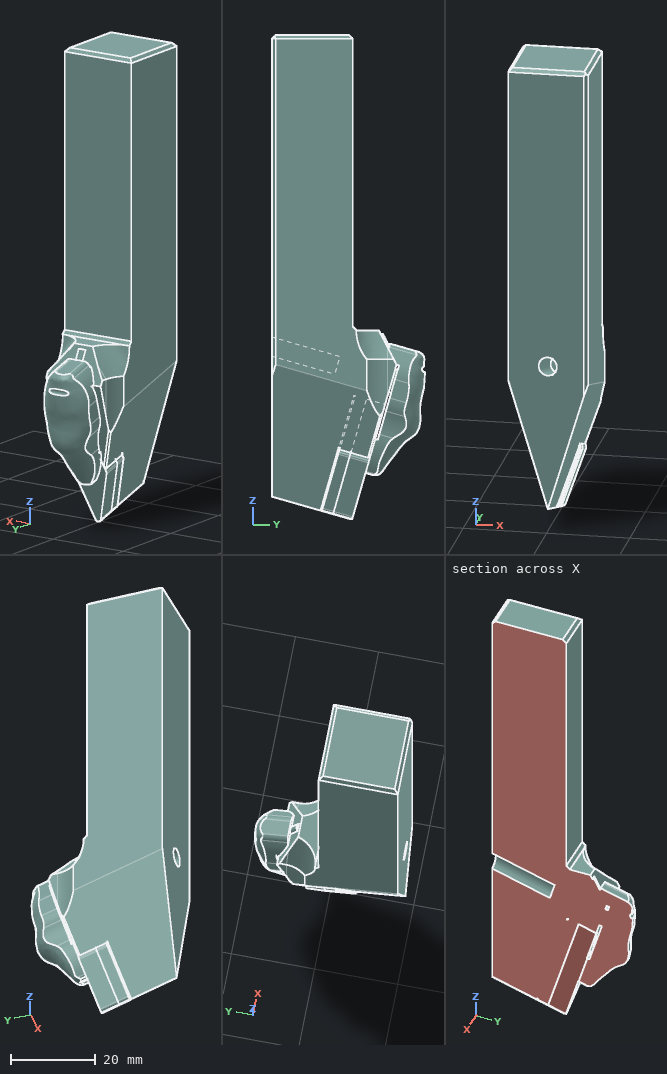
import cadquery as cq
import math

LENGTH = 114.3
SHANK = 19.1
SHANK_CHAMFER = 0.9
HEAD_TOP_Z = 44.6
RAMP_TOP_Y = 25.3
SHOULDER_CHAMFER = 0.9
RAMP_ANGLE = 27.0

NECK_HALF_WIDTH = 7.8
NECK_TANGENT_Y = 27.2
NECK_RADIUS = 7.3
NECK_BEND_Z = 37.7
NECK_LEAN = 38.0

SEAT_LEAN = 16.0
TIP_Y = 19.0
HALF_POINT = 17.5
INSCRIBED_RADIUS = 4.8
NOSE_RADIUS = 0.8
INSERT_THICKNESS = 4.7
SHIM_THICKNESS = 3.1
SHIM_CHAMFER = 0.3
SIDE_RELIEF = 0.51
SEAT_CHAMFER = 0.5

CLAMP_FLOOR = -2.9
CLAMP_GAP = 0.6
CLAMP_PAD_END = 19.7
SCREW_AXIS = 34.0
SCREW_REACH = 0.6
SCREW_DIAMETER = 5.7
SCREW_HOLE_DIAMETER = 4.3
SCREW_HOLE_DEPTH = 16.0
PIN_RADIUS = 1.3
PIN_PROUD = 0.5
PIN_TOP_DROP = 1.1
PIN_LENGTH = 5.7

CLAMP_HALF_WIDTH = 6.4
CLAMP_BACK_HALF_WIDTH = 1.8
CLAMP_CORNER_HALF_WIDTH = 3.2
CLAMP_SHOULDER_HALF_WIDTH = 5.4
CLAMP_WAIST_HALF_WIDTH = 5.7
CLAMP_NECK_HALF_WIDTH = 4.5
CLAMP_CHEEK_HALF_WIDTH = 3.8
CLAMP_NOSE_HALF_WIDTH = 1.7
CLAMP_OVERSIZE = 0.3
GROOVE_AT = 38.7
GROOVE_LEVEL = 6.7
GROOVE_RADIUS = 0.7

CLAMP_TIP = 11.4
CLAMP_NOSE = 11.8
CLAMP_CHEEK = 16.2
CLAMP_NECK = 21.0
CLAMP_WAIST = 26.7
CLAMP_FRONT = 30.0
CLAMP_REAR = 34.5
CLAMP_SHOULDER = 38.7
CLAMP_CORNER = 41.5
CLAMP_BACK = 42.3

CLAMP_SECTIONS = [
    (11.3, 1.7, 0.7, 2.1),
    (12.8, 2.5, 1.0, 3.8),
    (15.4, 3.5, 1.3, 4.7),
    (17.7, 4.1, 1.6, 5.6),
    (21.0, 4.5, 2.3, 7.1),
    (23.3, 4.8, 2.6, 8.8),
    (26.7, 5.7, 4.0, 9.1),
    (30.0, 6.4, 4.1, 8.1),
    (34.5, 6.4, 3.3, 7.8),
    (37.7, 5.8, 2.3, 7.1),
    (40.0, 4.8, 1.6, 6.2),
    (42.4, 2.1, 1.5, 3.9),
]

half_point = math.radians(HALF_POINT)
lean = math.radians(SEAT_LEAN)
ramp = math.radians(RAMP_ANGLE)
nose_setback = NOSE_RADIUS / math.sin(half_point) - NOSE_RADIUS
insert_half_length = INSCRIBED_RADIUS / math.sin(half_point)
insert_half_width = INSCRIBED_RADIUS / math.cos(half_point)
insert_centre = insert_half_length - nose_setback
holder_point = SIDE_RELIEF / math.sin(half_point) - nose_setback

peak_drop = (TIP_Y + HEAD_TOP_Z * math.tan(lean) - RAMP_TOP_Y) / (math.tan(lean) + math.tan(ramp))
peak_y = RAMP_TOP_Y + peak_drop * math.tan(ramp)
peak_z = HEAD_TOP_Z - peak_drop
peak_distance = peak_z / math.cos(lean)


def to_seat(shape):
    """Move a shape from the seat frame (Z along the seat, Y out of it) onto the tool."""
    return shape.rotate((0, 0, 0), (1, 0, 0), -SEAT_LEAN).translate((0, TIP_Y, 0))


def rhombus(back, front):
    """Rounded rhombic prism in the seat frame, from level `back` out to level `front`."""
    corners = [
        (0, insert_centre - insert_half_length),
        (insert_half_width, insert_centre),
        (0, insert_centre + insert_half_length),
        (-insert_half_width, insert_centre),
    ]
    prism = cq.Workplane("XZ", origin=(0, back, 0)).polyline(corners).close().extrude(back - front)
    return prism.edges("|Y").fillet(NOSE_RADIUS)


def make_block():
    """Shank and head as one side profile, with the chamfers of the shank."""
    outline = [
        (0, 0),
        (TIP_Y, 0),
        (peak_y, peak_z),
        (RAMP_TOP_Y, HEAD_TOP_Z),
        (SHANK + SHOULDER_CHAMFER, HEAD_TOP_Z),
        (SHANK, HEAD_TOP_Z + SHOULDER_CHAMFER),
        (SHANK, LENGTH),
        (0, LENGTH),
    ]
    block = cq.Workplane("YZ").polyline(outline).close().extrude(SHANK / 2, both=True)
    block = block.faces(">Z").chamfer(SHANK_CHAMFER)
    return block.edges("|Z").edges(">X and <Y").chamfer(SHANK_CHAMFER)


def neck_cutter(side):
    """Hollow beside the head: upright up to the bend, then leaning inwards."""
    far_x = NECK_HALF_WIDTH + 3 * NECK_RADIUS
    far_y = NECK_TANGENT_Y + NECK_RADIUS
    diagonal = NECK_RADIUS * (1 - math.sqrt(0.5))
    outline = (
        cq.Workplane("XY", origin=(0, 0, NECK_BEND_Z))
        .moveTo(side * NECK_HALF_WIDTH, far_y)
        .lineTo(side * NECK_HALF_WIDTH, NECK_TANGENT_Y)
        .threePointArc(
            (side * (NECK_HALF_WIDTH + diagonal), NECK_TANGENT_Y - NECK_RADIUS + diagonal),
            (side * (NECK_HALF_WIDTH + NECK_RADIUS), NECK_TANGENT_Y - NECK_RADIUS),
        )
        .lineTo(side * far_x, NECK_TANGENT_Y - NECK_RADIUS)
        .lineTo(side * far_x, far_y)
        .close()
        .wire()
        .val()
    )
    rise = HEAD_TOP_Z - NECK_BEND_Z
    shift = -side * rise * math.tan(math.radians(NECK_LEAN))
    upright = cq.Solid.extrudeLinear(outline, [], cq.Vector(0, 0, -NECK_BEND_Z))
    leaning = cq.Solid.extrudeLinear(outline, [], cq.Vector(shift, 0, rise))
    return cq.Workplane(upright).union(cq.Workplane(leaning))


def point_wedge():
    """V-shaped prism that gives the holder its pointed flanks."""
    top = 2 * LENGTH
    half_width = (top - holder_point) * math.tan(half_point)
    outline = [(0, holder_point), (half_width, top), (-half_width, top)]
    wedge = cq.Workplane("XZ").polyline(outline).close().extrude(LENGTH)
    return to_seat(wedge.faces(">Y").edges("not |X").chamfer(SEAT_CHAMFER))


def make_shim():
    shim_top = -INSERT_THICKNESS
    shim = rhombus(shim_top - SHIM_THICKNESS, shim_top)
    return to_seat(shim.faces("<Y").chamfer(SHIM_CHAMFER))


def make_screw_hole():
    hole = cq.Workplane("XZ", origin=(0, 0, SCREW_AXIS)).circle(SCREW_HOLE_DIAMETER / 2)
    entry = TIP_Y / math.cos(lean) + SCREW_AXIS * math.tan(lean)
    return to_seat(hole.extrude(2 * SHANK).translate((0, SCREW_HOLE_DEPTH - entry, 0)))


def clamp_section(distance, half_width, wall, crown):
    edge = half_width + CLAMP_OVERSIZE
    return (
        cq.Workplane("XY", origin=(0, 0, distance))
        .moveTo(-edge, CLAMP_FLOOR)
        .lineTo(edge, CLAMP_FLOOR)
        .lineTo(edge, wall)
        .threePointArc((0, crown), (-edge, wall))
        .close()
        .wire()
        .val()
    )


def clamp_outline():
    """Plan of the clamp in the seat frame: round body, waist and narrow nose."""
    side = (
        cq.Workplane("XZ", origin=(0, CLAMP_FLOOR, 0))
        .moveTo(0, CLAMP_BACK)
        .lineTo(CLAMP_BACK_HALF_WIDTH, CLAMP_BACK)
        .tangentArcPoint((CLAMP_CORNER_HALF_WIDTH, CLAMP_CORNER), relative=False)
        .threePointArc((CLAMP_SHOULDER_HALF_WIDTH, CLAMP_SHOULDER), (CLAMP_HALF_WIDTH, CLAMP_REAR))
        .lineTo(CLAMP_HALF_WIDTH, CLAMP_FRONT)
        .tangentArcPoint((CLAMP_WAIST_HALF_WIDTH, CLAMP_WAIST), relative=False)
        .tangentArcPoint((CLAMP_NECK_HALF_WIDTH, CLAMP_NECK), relative=False)
        .threePointArc((CLAMP_CHEEK_HALF_WIDTH, CLAMP_CHEEK), (CLAMP_NOSE_HALF_WIDTH, CLAMP_NOSE))
        .tangentArcPoint((0, CLAMP_TIP), relative=False)
        .close()
        .extrude(-SHANK)
    )
    return side.union(side.mirror("YZ"))


def make_clamp():
    """Domed clamp and its screw; the heel still overlaps the ramp of the head."""
    dome = cq.Workplane(cq.Solid.makeLoft([clamp_section(*s) for s in CLAMP_SECTIONS]))
    clamp = clamp_outline().intersect(dome)
    groove = cq.Workplane("YZ").center(GROOVE_LEVEL, GROOVE_AT).circle(GROOVE_RADIUS)
    clamp = clamp.cut(groove.extrude(CLAMP_HALF_WIDTH, both=True))
    pad_clearance = cq.Workplane("XY").box(SHANK, -CLAMP_FLOOR, peak_distance, centered=(True, False, False))
    clamp = clamp.cut(pad_clearance.translate((0, CLAMP_FLOOR, 0)))
    bridge_length = peak_distance - CLAMP_PAD_END
    bridge = cq.Workplane("XY").box(SHANK, CLAMP_GAP, bridge_length, centered=(True, False, False))
    clamp = clamp.cut(bridge.translate((0, 0, CLAMP_PAD_END)))
    screw = cq.Workplane("XZ", origin=(0, 0, SCREW_AXIS)).circle(SCREW_DIAMETER / 2)
    return to_seat(clamp.union(screw.extrude(-CLAMP_GAP - SCREW_REACH)))


def make_pin():
    """Guide pin lying along the ramp, slightly proud of it."""
    pin = cq.Workplane("XY").circle(PIN_RADIUS).extrude(-PIN_LENGTH)
    pin = pin.translate((0, PIN_PROUD - PIN_RADIUS, -PIN_TOP_DROP))
    return pin.rotate((0, 0, 0), (1, 0, 0), RAMP_ANGLE).translate((0, RAMP_TOP_Y, HEAD_TOP_Z))


def make_holder():
    """Shank, head, shim and clamp as one solid."""
    head = make_block()
    for side in (-1, 1):
        head = head.cut(neck_cutter(side))
    head = head.intersect(point_wedge())
    clamp = make_clamp().cut(head)
    pocket = to_seat(rhombus(-INSERT_THICKNESS - SHIM_THICKNESS, 0))
    head = head.union(make_pin()).cut(make_screw_hole()).cut(pocket)
    return head.union(make_shim()).union(clamp)


def make_insert():
    return to_seat(rhombus(-INSERT_THICKNESS, 0))


holder = make_holder()
insert = make_insert()
result = cq.Compound.makeCompound([holder.val(), insert.val()])